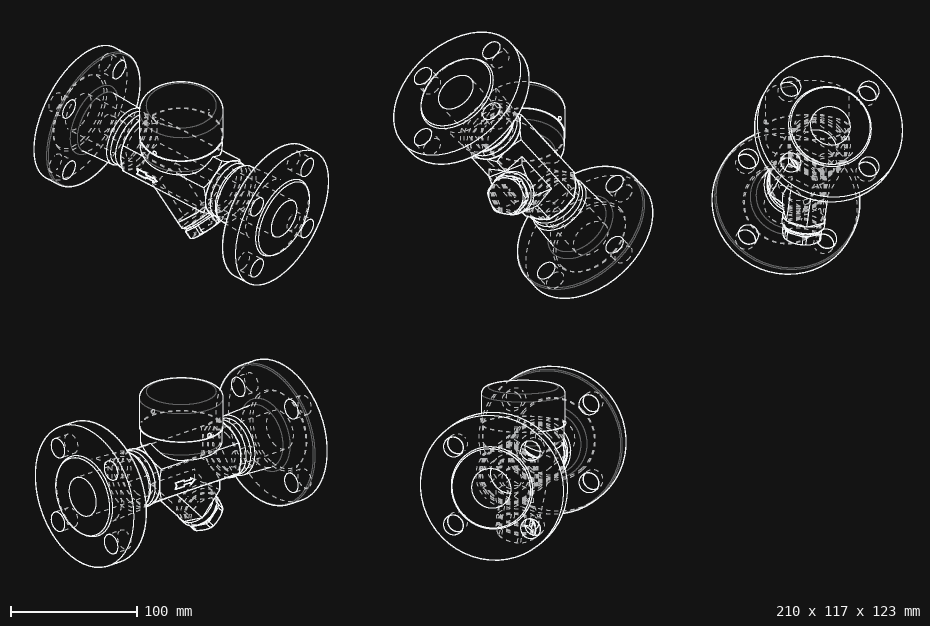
import cadquery as cq
import math

FACE_TO_FACE = 210.0
HALF_LENGTH = FACE_TO_FACE / 2

FLANGE_DIAMETER = 117.0
FLANGE_THICKNESS = 14.0
FLANGE_EDGE_FILLET = 1.0
RAISED_FACE_HEIGHT = 2.0
RAISED_FACE_BASE_DIAMETER = 66.5
RAISED_FACE_END_DIAMETER = 64.0
BOLT_HOLE_DIAMETER = 16.0
BOLT_CIRCLE_DIAMETER = 89.0
BOLT_COUNT = 4

HUB_ROOT_RADIUS = 26.0
HUB_END_RADIUS = 24.7
HUB_ROOT_FILLET = 4.0
HUB_END_X = 56.2
NECK_DIAMETER = 46.0
NECK_START_X = 53.4
BEAD_OUTER_X = 48.4
BEAD_HEIGHT = 0.8
BORE_DIAMETER = 32.0

BODY_ACROSS_FLATS = 45.0
BODY_HALF_LENGTH = 43.2
BODY_END_RADIUS = 22.5
BODY_END_CHAMFER_LENGTH = 1.8
BODY_TURNING_CLEARANCE = 2.0
BODY_CORNER_RADIUS = BODY_ACROSS_FLATS / math.sqrt(3)

CAP_DIAMETER = 66.5
CAP_TOP_Z = 61.5
CAP_BOTTOM_Z = 31.5
CAP_TOP_FILLET = 5.5
CUP_DIAMETER = 65.0
CUP_BOTTOM_Z = 13.3
CUP_BOTTOM_FILLET = 7.0
CAP_PIN_DIAMETER = 3.2
CAP_PIN_Z = 34.2

BRANCH_TILT = 45.0
BRANCH_AXIS_OFFSET = 17.0
BRANCH_HALF_WIDTH = 15.2
BRANCH_INNER_SIDE = 27.0
BRANCH_START = -5.0
BRANCH_END = 37.6
BRANCH_WALL_X = 27.6
COLLAR_DIAMETER = 34.0
COLLAR_END = 45.8
COLLAR_CHAMFER = 2.3
GROOVE_DIAMETER = 29.0
HEAD_START = 47.2
HEAD_END = 55.0
HEAD_ACROSS_FLATS = 29.0
HEAD_DIAMETER = 32.0
HEAD_CHAMFER_LENGTH = 1.0

ARROW_TAIL_X = -26.8
ARROW_NOTCH_X = -25.4
ARROW_STEP_X = -17.4
ARROW_HEAD_X = -10.2
ARROW_TIP_X = -6.2
ARROW_Z = -5.4
ARROW_TAIL_HALF_WIDTH = 2.7
ARROW_SHAFT_HALF_WIDTH = 1.3
ARROW_HEIGHT = 0.8


def hexagonal_bar(across_flats, length):
    """Bar along +Z with two of its corners on the X axis."""
    return cq.Workplane("XY").polygon(6, across_flats * 2 / math.sqrt(3)).extrude(length)


def flanged_end():
    """Flange, hub, neck and weld bead of the +X end, turned about the X axis."""
    flange_face_x = HALF_LENGTH - RAISED_FACE_HEIGHT
    flange_back_x = flange_face_x - FLANGE_THICKNESS
    flange_radius = FLANGE_DIAMETER / 2
    neck_radius = NECK_DIAMETER / 2
    bead_middle_x = (BODY_HALF_LENGTH + BEAD_OUTER_X) / 2
    arc_sag = 1 - math.sqrt(0.5)
    hub_sag = HUB_ROOT_FILLET * arc_sag
    rim_sag = FLANGE_EDGE_FILLET * arc_sag
    return (
        cq.Workplane("XY")
        .moveTo(BODY_HALF_LENGTH, 0)
        .lineTo(HALF_LENGTH, 0)
        .lineTo(HALF_LENGTH, RAISED_FACE_END_DIAMETER / 2)
        .lineTo(flange_face_x, RAISED_FACE_BASE_DIAMETER / 2)
        .lineTo(flange_face_x, flange_radius)
        .lineTo(flange_back_x + FLANGE_EDGE_FILLET, flange_radius)
        .threePointArc(
            (flange_back_x + rim_sag, flange_radius - rim_sag),
            (flange_back_x, flange_radius - FLANGE_EDGE_FILLET),
        )
        .lineTo(flange_back_x, HUB_ROOT_RADIUS + HUB_ROOT_FILLET)
        .threePointArc(
            (flange_back_x - hub_sag, HUB_ROOT_RADIUS + hub_sag),
            (flange_back_x - HUB_ROOT_FILLET, HUB_ROOT_RADIUS),
        )
        .lineTo(HUB_END_X, HUB_END_RADIUS)
        .lineTo(NECK_START_X, neck_radius)
        .lineTo(BEAD_OUTER_X, neck_radius)
        .threePointArc((bead_middle_x, neck_radius + BEAD_HEIGHT), (BODY_HALF_LENGTH, neck_radius))
        .close()
        .revolve(360, (0, 0), (1, 0))
    )


def flange_cuts():
    """Bore and bolt holes of the +X end; the bore stops at the hexagonal body."""
    bore = (
        cq.Workplane("YZ", origin=(BODY_HALF_LENGTH, 0, 0))
        .circle(BORE_DIAMETER / 2)
        .extrude(HALF_LENGTH - BODY_HALF_LENGTH)
    )
    bolt_holes = (
        cq.Workplane("YZ", origin=(HALF_LENGTH, 0, 0))
        .polarArray(BOLT_CIRCLE_DIAMETER / 2, 180 / BOLT_COUNT, 360, BOLT_COUNT)
        .circle(BOLT_HOLE_DIAMETER / 2)
        .extrude(-RAISED_FACE_HEIGHT - FLANGE_THICKNESS)
    )
    return bore.union(bolt_holes)


def hexagonal_body():
    """Hexagonal bar along X whose corners are turned down to a cone at both ends."""
    bar = (
        hexagonal_bar(BODY_ACROSS_FLATS, 2 * BODY_HALF_LENGTH)
        .translate((0, 0, -BODY_HALF_LENGTH))
        .rotate((0, 0, 0), (0, 1, 0), 90)
    )
    clear_radius = BODY_CORNER_RADIUS + BODY_TURNING_CLEARANCE
    cone_slope = BODY_END_CHAMFER_LENGTH / (BODY_CORNER_RADIUS - BODY_END_RADIUS)
    cone_start_x = BODY_HALF_LENGTH - cone_slope * (clear_radius - BODY_END_RADIUS)
    turned_envelope = (
        cq.Workplane("XY")
        .polyline([
            (-BODY_HALF_LENGTH, 0),
            (-BODY_HALF_LENGTH, BODY_END_RADIUS),
            (-cone_start_x, clear_radius),
            (cone_start_x, clear_radius),
            (BODY_HALF_LENGTH, BODY_END_RADIUS),
            (BODY_HALF_LENGTH, 0),
        ])
        .close()
        .revolve(360, (0, 0), (1, 0))
    )
    return bar.intersect(turned_envelope)


def cap():
    """Round cap on a slightly narrower cup, with a ball-ended pin on the -Y and +Y sides."""
    cover = (
        cq.Workplane("XY", origin=(0, 0, CAP_BOTTOM_Z))
        .circle(CAP_DIAMETER / 2)
        .extrude(CAP_TOP_Z - CAP_BOTTOM_Z)
        .faces(">Z")
        .edges()
        .fillet(CAP_TOP_FILLET)
    )
    cup = (
        cq.Workplane("XY", origin=(0, 0, CUP_BOTTOM_Z))
        .circle(CUP_DIAMETER / 2)
        .extrude(CAP_BOTTOM_Z - CUP_BOTTOM_Z)
        .faces("<Z")
        .edges()
        .fillet(CUP_BOTTOM_FILLET)
    )
    shape = cover.union(cup)
    for side in (-1, 1):
        pin = cq.Workplane("XY").sphere(CAP_PIN_DIAMETER / 2)
        shape = shape.union(pin.translate((0, side * CAP_DIAMETER / 2, CAP_PIN_Z)))
    return shape


def branch_block():
    """Block with a half-hexagonal outer side, cut off by a wall square to the flow axis."""
    corner_offset = COLLAR_DIAMETER / 2
    flat_offset = corner_offset - BRANCH_HALF_WIDTH / math.sqrt(3)
    block = (
        cq.Workplane("XY", origin=(0, 0, BRANCH_START))
        .polyline([
            (corner_offset, 0),
            (flat_offset, -BRANCH_HALF_WIDTH),
            (-BRANCH_INNER_SIDE, -BRANCH_HALF_WIDTH),
            (-BRANCH_INNER_SIDE, BRANCH_HALF_WIDTH),
            (flat_offset, BRANCH_HALF_WIDTH),
        ])
        .close()
        .extrude(BRANCH_END - BRANCH_START)
    )
    beyond_wall = (
        cq.Workplane("YZ", origin=(BRANCH_WALL_X, 0, 0))
        .rect(FLANGE_DIAMETER, FLANGE_DIAMETER)
        .extrude(HALF_LENGTH)
    )
    return place_on_branch(block).cut(beyond_wall)


def branch_plug():
    """Chamfered collar, groove and hexagonal head that close the branch."""
    collar = (
        cq.Workplane("XY", origin=(0, 0, BRANCH_END))
        .circle(COLLAR_DIAMETER / 2)
        .extrude(COLLAR_END - BRANCH_END)
        .faces(">Z")
        .edges()
        .chamfer(COLLAR_CHAMFER)
    )
    groove = (
        cq.Workplane("XY", origin=(0, 0, BRANCH_END))
        .circle(GROOVE_DIAMETER / 2)
        .extrude(HEAD_START - BRANCH_END)
    )
    return place_on_branch(collar.union(groove).union(plug_head()))


def plug_head():
    """Hexagonal head with turned corners and a cone running out at its outer end."""
    head_radius = HEAD_DIAMETER / 2
    end_radius = HEAD_ACROSS_FLATS / 2
    turned_envelope = (
        cq.Workplane("XZ")
        .polyline([
            (0, HEAD_START),
            (head_radius, HEAD_START),
            (head_radius, HEAD_END - HEAD_CHAMFER_LENGTH),
            (end_radius, HEAD_END),
            (0, HEAD_END),
        ])
        .close()
        .revolve(360, (0, 0), (0, 1))
    )
    return hexagonal_bar(HEAD_ACROSS_FLATS, HEAD_END).intersect(turned_envelope)


def place_on_branch(shape):
    """Turn +Z onto the branch axis and shift it sideways off the origin."""
    tilt = math.radians(BRANCH_TILT)
    offset = (-BRANCH_AXIS_OFFSET * math.cos(tilt), 0, -BRANCH_AXIS_OFFSET * math.sin(tilt))
    return shape.rotate((0, 0, 0), (0, 1, 0), 180 - BRANCH_TILT).translate(offset)


def flow_arrow():
    """Raised arrow pointing towards +X."""
    upper_outline = [
        (ARROW_TAIL_X, ARROW_TAIL_HALF_WIDTH),
        (ARROW_STEP_X, ARROW_TAIL_HALF_WIDTH),
        (ARROW_STEP_X, ARROW_SHAFT_HALF_WIDTH),
        (ARROW_HEAD_X, ARROW_SHAFT_HALF_WIDTH),
        (ARROW_HEAD_X, ARROW_TAIL_HALF_WIDTH),
    ]
    lower_outline = [(x, -half_width) for x, half_width in reversed(upper_outline)]
    outline = upper_outline + [(ARROW_TIP_X, 0)] + lower_outline + [(ARROW_NOTCH_X, 0)]
    return (
        cq.Workplane("XZ", origin=(0, -BODY_ACROSS_FLATS / 2, ARROW_Z))
        .polyline(outline)
        .close()
        .extrude(ARROW_HEIGHT)
    )


result = hexagonal_body()
result = result.union(cap()).union(flow_arrow())
result = result.union(branch_block()).union(branch_plug())
for turn in (0, 180):
    result = result.union(flanged_end().rotate((0, 0, 0), (0, 0, 1), turn))
    result = result.cut(flange_cuts().rotate((0, 0, 0), (0, 0, 1), turn))